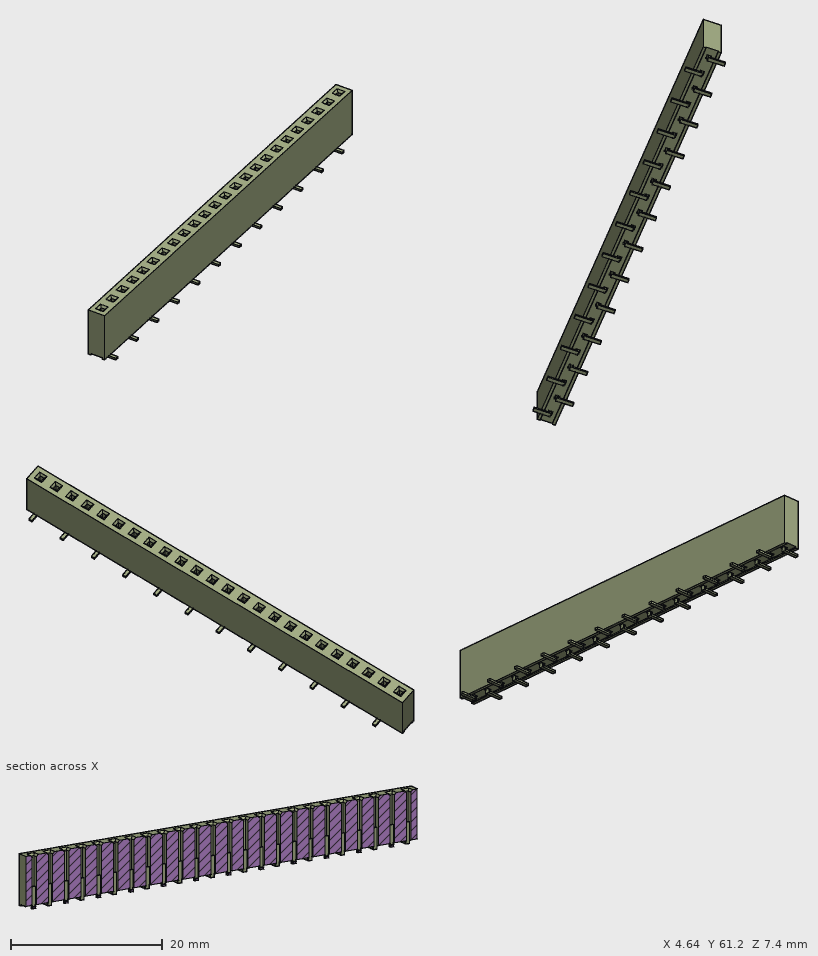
import cadquery as cq

pin_count = 24
pitch = 2.54
end_margin = 0.1
overall_width = 4.64
overall_height = 7.4

foot_width = 0.5
foot_thickness = 0.3
stem_width = 0.58
stem_thickness = 0.2
stem_height = 3.0

body_width = pitch
body_length = pin_count * pitch + 2 * end_margin
body_bottom = foot_thickness
body_height = overall_height - body_bottom

channel_width = 1.7
channel_depth = 0.2

mouth_size = 1.2
hole_size = 0.6
lead_in_depth = (mouth_size - hole_size) / 2


def make_body():
    base = cq.Workplane("XY").workplane(offset=body_bottom)
    block = base.rect(body_width, body_length).extrude(body_height)
    channel = base.rect(channel_width, body_length).extrude(channel_depth)
    return block.cut(channel)


def make_socket(y):
    """Cutter for one socket, from the mouth down through the body."""
    top = cq.Workplane("XY").workplane(offset=overall_height).center(0, y)
    lead_in = (
        top.rect(mouth_size, mouth_size)
        .workplane(offset=-lead_in_depth)
        .rect(hole_size, hole_size)
        .loft(ruled=True)
    )
    hole = top.rect(hole_size, hole_size).extrude(-body_height)
    return lead_in.union(hole)


def make_contact(y, side):
    """Foot reaching to one side (-1 or +1 along X) with a stem standing in the socket."""
    foot_length = overall_width / 2
    foot = (
        cq.Workplane("XY")
        .center(side * foot_length / 2, y)
        .rect(foot_length, foot_width)
        .extrude(foot_thickness)
    )
    stem = cq.Workplane("XY").center(0, y).rect(stem_thickness, stem_width).extrude(stem_height)
    return foot.union(stem)


result = make_body()
first_y = (pin_count - 1) * pitch / 2
for index in range(pin_count):
    contact_y = first_y - index * pitch
    foot_side = -1 if index % 2 == 0 else 1
    result = result.cut(make_socket(contact_y)).union(make_contact(contact_y, foot_side))